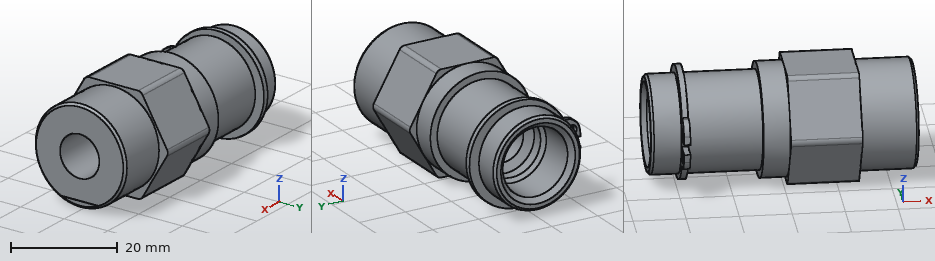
import cadquery as cq
import math

groove_start = 5.7
ring_start = 5.8
groove_end = 7.0
collar_start = 21.0
hex_start = 26.0
hex_end = 39.5
body_end = 50.35
overall_length = 50.5

spigot_radius = 19.0 / 2
groove_radius = 18.0 / 2
collar_radius = 22.0 / 2
hex_sides = 6
hex_across_flats = 22.0
hex_corner_radius = 1.3
tail_radius = 21.0 / 2
edge_chamfer = 0.5
tail_face_radius = tail_radius - edge_chamfer

entry_radius = 16.2 / 2
socket_radius = 14.1 / 2
socket_end = 8.9
seat_radius = 12.55 / 2
seat_end = 12.0
through_radius = 9.0 / 2
seat_cone_half_angle = 60.0

ring_radius = 10.85
ring_offset = 0.65
ring_roll = 1.1
ring_gap = 2.0
lug_reach = 12.74
lug_half_width = 4.95
lug_flank_reach = 9.7
lug_shoulder_reach = 12.48
lug_hole_diameter = 2.0
lug_hole_reach = 10.8
lug_hole_height = 2.6

lip_chord_height = 9.0


def make_turned_body():
    """Spigot, ring groove, collar and tail turned about the X axis."""
    profile = [
        (0, 0),
        (0, spigot_radius - edge_chamfer),
        (edge_chamfer, spigot_radius),
        (groove_start, spigot_radius),
        (groove_start, groove_radius),
        (groove_end, groove_radius),
        (groove_end, spigot_radius),
        (collar_start, spigot_radius),
        (collar_start, collar_radius),
        (hex_start, collar_radius),
        (hex_start, tail_radius),
        (body_end - edge_chamfer, tail_radius),
        (body_end, tail_face_radius),
        (body_end, 0),
    ]
    return cq.Workplane("XY").polyline(profile).close().revolve(360, (0, 0, 0), (1, 0, 0))


def make_hexagon():
    """Wrench hexagon with flats at +Z and -Z and rounded corners."""
    across_corners = hex_across_flats / math.cos(math.pi / hex_sides)
    return (
        cq.Workplane("YZ", origin=(hex_start, 0, 0))
        .polygon(hex_sides, across_corners)
        .extrude(hex_end - hex_start)
        .edges("|X")
        .fillet(hex_corner_radius)
    )


def make_bore():
    """Chamfered entry, socket, 45 degree shoulder, seat and coned through hole."""
    entry_depth = entry_radius - socket_radius
    shoulder_end = socket_end + socket_radius - seat_radius
    cone_length = (seat_radius - through_radius) / math.tan(math.radians(seat_cone_half_angle))
    profile = [
        (0, 0),
        (0, entry_radius),
        (entry_depth, socket_radius),
        (socket_end, socket_radius),
        (shoulder_end, seat_radius),
        (seat_end, seat_radius),
        (seat_end + cone_length, through_radius),
        (overall_length, through_radius),
        (overall_length, 0),
    ]
    return cq.Workplane("XY").polyline(profile).close().revolve(360, (0, 0, 0), (1, 0, 0))


def make_lug_blank(plane, thickness, side):
    """Solid lug on the +Z (side = 1) or -Z (side = -1) half of the ring opening."""
    return (
        plane.lineTo(0, side * lug_half_width)
        .lineTo(-lug_flank_reach, side * lug_half_width)
        .tangentArcPoint((-lug_shoulder_reach, side * lug_hole_height), relative=False)
        .lineTo(-lug_reach, side * ring_gap / 2)
        .lineTo(-lug_reach, 0)
        .close()
        .extrude(thickness)
    )


def make_retaining_ring():
    """External circlip seated on the groove floor, rolled slightly about X."""
    thickness = groove_end - ring_start
    plane = cq.Workplane("YZ", origin=(ring_start, 0, 0))
    ring = plane.center(ring_offset, 0).circle(ring_radius).extrude(thickness)
    lugs = make_lug_blank(plane, thickness, 1).union(make_lug_blank(plane, thickness, -1))
    gap = plane.center(-lug_reach / 2, 0).rect(lug_reach, ring_gap).extrude(thickness)
    holes = (
        plane.pushPoints([(-lug_hole_reach, side * lug_hole_height) for side in (1, -1)])
        .circle(lug_hole_diameter / 2)
        .extrude(thickness)
    )
    opening = plane.circle(groove_radius).extrude(thickness)
    ring = ring.union(lugs).cut(gap).cut(holes).cut(opening)
    return ring.rotate((0, 0, 0), (1, 0, 0), ring_roll)


def make_end_lip():
    """Circular-segment lip at the -Z edge of the tail face."""
    half_chord = math.sqrt(tail_face_radius**2 - lip_chord_height**2)
    return (
        cq.Workplane("YZ", origin=(body_end, 0, 0))
        .moveTo(-half_chord, -lip_chord_height)
        .threePointArc((0, -tail_face_radius), (half_chord, -lip_chord_height))
        .close()
        .extrude(overall_length - body_end)
    )


body = make_turned_body().union(make_hexagon()).union(make_end_lip())
result = body.union(make_retaining_ring()).cut(make_bore())